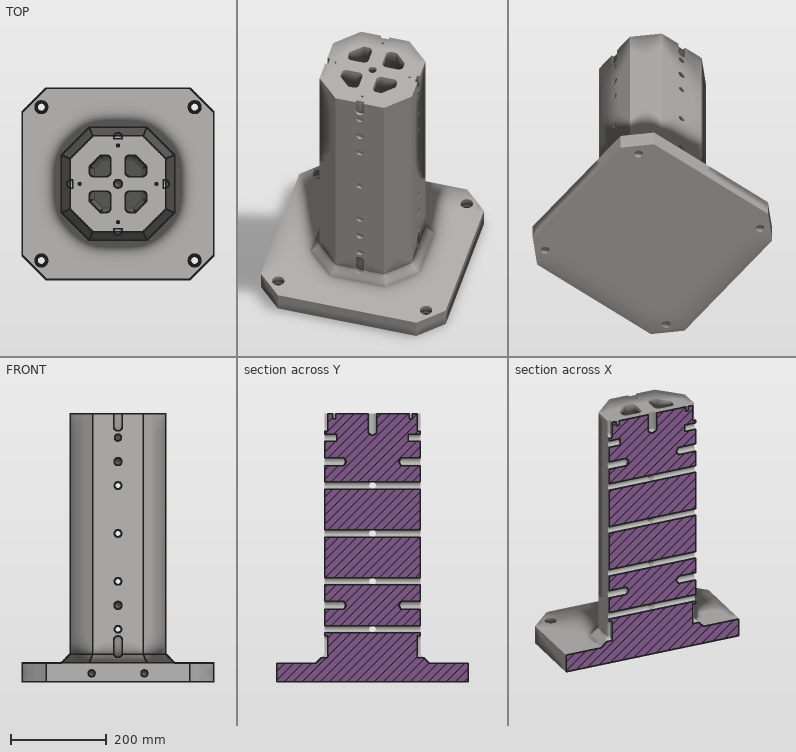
import cadquery as cq
import math

PLATE_SIDE = 400.0
PLATE_HEIGHT = 40.0
PLATE_CORNER_CUT = 50.0
TOTAL_HEIGHT = 560.0

COLUMN_WIDTH = 200.0
COLUMN_FLAT = 105.0
FLARE = 18.0

WALL = 40.0
RIB = 30.0
POCKET_RADIUS = 10.0
POCKET_FLOOR = PLATE_HEIGHT

MOUNT_PITCH = 320.0
MOUNT_DIAMETER = 18.0
COUNTERBORE_DIAMETER = 26.0
COUNTERBORE_DEPTH = 17.0

DRILL_TIP_ANGLE = 118.0
COLUMN_TAP_DIAMETER = 16.0
COLUMN_TAP_DEPTH = 40.0
COLUMN_TAP_HEIGHTS = (160.0, 460.0)
CENTER_TAP_DIAMETER = 17.5
CENTER_TAP_DEPTH = 40.0
PLATE_TAP_DIAMETER = 14.0
PLATE_TAP_DEPTH = 30.0
PLATE_TAP_PITCH = 110.0
PLATE_TAP_HEIGHT = 18.0

CROSS_DIAMETER = 14.0
THROUGH_HEIGHTS = (110.0, 210.0, 310.0, 410.0)
BLIND_HEIGHT = 510.0
BLIND_DEPTH = 25.0

SLOT_WIDTH = 18.0
SLOT_DEPTH = 6.0
LOWER_SLOT_BOTTOM = 51.5
LOWER_SLOT_TOP = 96.0
UPPER_SLOT_BOTTOM = 524.0

PIN_DIAMETER = 5.0
PIN_OFFSET = 80.0
PIN_DEPTH = 10.0

HALF_COLUMN = COLUMN_WIDTH / 2
HALF_FLAT = COLUMN_FLAT / 2
FLAT_GROWTH = math.tan(math.pi / 8)
FACE_ANGLES = (0, 90, 180, 270)


def octagon_points(offset):
    """Corners of the column octagon with every side moved outward by offset."""
    half_width = HALF_COLUMN + offset
    half_flat = HALF_FLAT + offset * FLAT_GROWTH
    return [
        (half_width, half_flat),
        (half_flat, half_width),
        (-half_flat, half_width),
        (-half_width, half_flat),
        (-half_width, -half_flat),
        (-half_flat, -half_width),
        (half_flat, -half_width),
        (half_width, -half_flat),
    ]


def prism(points, bottom, top):
    """Closed outline extruded between two heights."""
    return cq.Workplane("XY", origin=(0, 0, bottom)).polyline(points).close().extrude(top - bottom)


def make_plate():
    plate = cq.Workplane("XY").box(PLATE_SIDE, PLATE_SIDE, PLATE_HEIGHT, centered=(True, True, False))
    return plate.edges("|Z").chamfer(PLATE_CORNER_CUT)


def make_column():
    shaft_outline = octagon_points(0)
    shaft = prism(shaft_outline, PLATE_HEIGHT, TOTAL_HEIGHT)
    flare = (
        cq.Workplane("XY", origin=(0, 0, PLATE_HEIGHT))
        .polyline(octagon_points(FLARE))
        .close()
        .workplane(offset=FLARE)
        .polyline(shaft_outline)
        .close()
        .loft(ruled=True)
    )
    return shaft.union(flare)


def make_pockets():
    """Octagonal cavity with a rounded floor edge, divided into four by the ribs."""
    inner = RIB / 2
    outer = HALF_COLUMN - WALL
    half_flat = HALF_FLAT - WALL * FLAT_GROWTH
    cavity = prism(octagon_points(-WALL), POCKET_FLOOR, TOTAL_HEIGHT)
    cavity = cavity.faces("<Z").edges().fillet(POCKET_RADIUS)
    outline = [
        (inner, inner),
        (outer, inner),
        (outer, half_flat),
        (half_flat, outer),
        (inner, outer),
    ]
    corner = prism(outline, POCKET_FLOOR, TOTAL_HEIGHT)
    middle_height = (POCKET_FLOOR + TOTAL_HEIGHT) / 2
    for x, y in ((inner, inner), (outer, inner), (inner, outer)):
        rib_edge = cq.selectors.NearestToPointSelector((x, y, middle_height))
        corner = corner.edges(rib_edge).fillet(POCKET_RADIUS)
    return around_column(corner.intersect(cavity))


def around_column(tool):
    """Copies of a cutting tool at the four quarter turns about Z."""
    copies = cq.Workplane("XY")
    for angle in FACE_ANGLES:
        copies = copies.add(tool.rotate((0, 0, 0), (0, 0, 1), angle))
    return copies.combine()


def drilled_hole(diameter, depth):
    """Drill shape pointing down from the origin, with a conical tip."""
    radius = diameter / 2
    tip = radius / math.tan(math.radians(DRILL_TIP_ANGLE / 2))
    profile = [(0, 0), (radius, 0), (radius, -depth), (0, -depth - tip)]
    return cq.Workplane("XZ").polyline(profile).close().revolve(360, (0, 0, 0), (0, 1, 0))


def front_drill(diameter, depth, x, y, z):
    """Drill shape entering at the given point and running in the +Y direction."""
    drill = drilled_hole(diameter, depth).rotate((0, 0, 0), (1, 0, 0), 90)
    return drill.translate((x, y, z))


def front_bore(diameter, depth, z):
    """Flat-ended bore entering the -Y column face."""
    bore = cq.Workplane("XZ", origin=(0, -HALF_COLUMN, z))
    return bore.circle(diameter / 2).extrude(-depth)


def front_slot(bottom, top):
    """Round-ended key slot in the -Y column face, also cutting the flare."""
    slot = cq.Workplane("XZ", origin=(0, -HALF_COLUMN + SLOT_DEPTH, (bottom + top) / 2))
    return slot.slot2D(top - bottom, SLOT_WIDTH, 90).extrude(SLOT_DEPTH + FLARE)


def cut_column_faces(body):
    for z in THROUGH_HEIGHTS:
        body = body.cut(around_column(front_bore(CROSS_DIAMETER, COLUMN_WIDTH, z)))
    body = body.cut(around_column(front_bore(CROSS_DIAMETER, BLIND_DEPTH, BLIND_HEIGHT)))
    for z in COLUMN_TAP_HEIGHTS:
        tap = front_drill(COLUMN_TAP_DIAMETER, COLUMN_TAP_DEPTH, 0, -HALF_COLUMN, z)
        body = body.cut(around_column(tap))
    body = body.cut(around_column(front_slot(LOWER_SLOT_BOTTOM, LOWER_SLOT_TOP)))
    upper_slot_end = TOTAL_HEIGHT + SLOT_WIDTH
    return body.cut(around_column(front_slot(UPPER_SLOT_BOTTOM, upper_slot_end)))


def cut_top_holes(body):
    center = drilled_hole(CENTER_TAP_DIAMETER, CENTER_TAP_DEPTH).translate((0, 0, TOTAL_HEIGHT))
    pin = cq.Workplane("XY", origin=(0, -PIN_OFFSET, TOTAL_HEIGHT))
    pin = pin.circle(PIN_DIAMETER / 2).extrude(-PIN_DEPTH)
    return body.cut(center).cut(around_column(pin))


def cut_plate_holes(body):
    plate_top = cq.Workplane("XY", origin=(0, 0, PLATE_HEIGHT))
    mounts = plate_top.rect(MOUNT_PITCH, MOUNT_PITCH, forConstruction=True).vertices()
    body = body.cut(mounts.circle(MOUNT_DIAMETER / 2).extrude(-PLATE_HEIGHT))
    body = body.cut(mounts.circle(COUNTERBORE_DIAMETER / 2).extrude(-COUNTERBORE_DEPTH))
    for side in (-1, 1):
        x = side * PLATE_TAP_PITCH / 2
        tap = front_drill(PLATE_TAP_DIAMETER, PLATE_TAP_DEPTH, x, -PLATE_SIDE / 2, PLATE_TAP_HEIGHT)
        body = body.cut(tap)
    return body


body = make_plate().union(make_column()).cut(make_pockets())
body = cut_column_faces(body)
body = cut_top_holes(body)
result = cut_plate_holes(body)